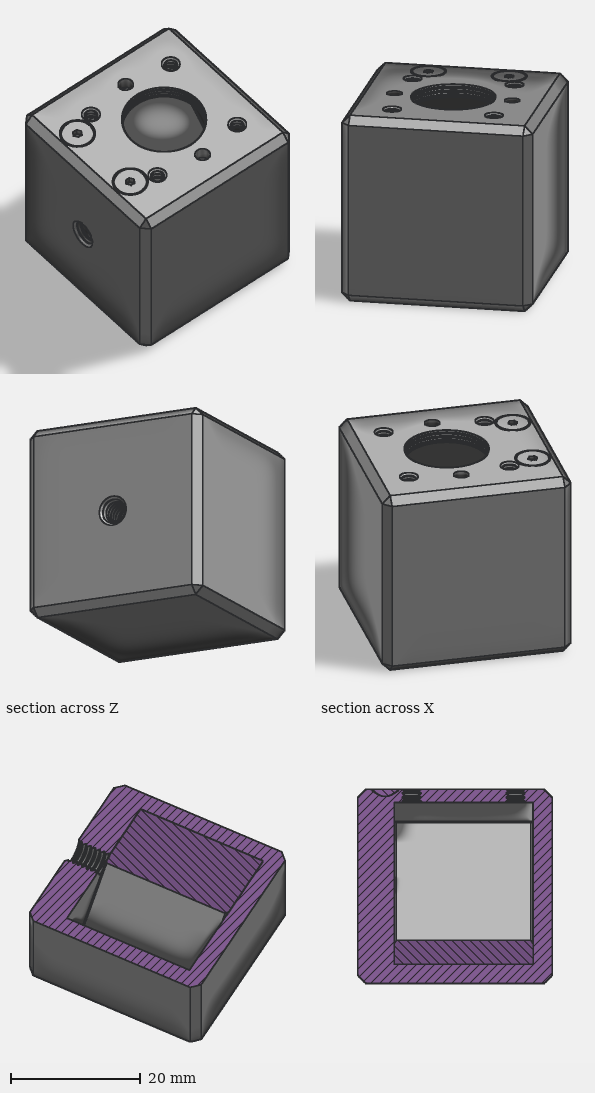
import cadquery as cq
import math


cube_size = 29.97
half_cube = cube_size / 2
cube_chamfer = 1.27

wall = 3.0
screw_wall = 5.64
roof = 2.1
cavity_half_x = half_cube - wall
cavity_front = -half_cube + screw_wall
cavity_back = half_cube - wall
cavity_width = cavity_back - cavity_front
cavity_floor = -half_cube + wall
cavity_top = half_cube - roof
port_y = (cavity_front + cavity_back) / 2

bore_major = 13.08
bore_minor = 12.75
bore_pitch = 0.635
tap_spacing = 16.0
tap_major = 2.85
tap_minor = 2.1
tap_pitch = 0.635
dowel_diameter = 2.35
dowel_spacing = 18.5

post_major = 4.17
post_minor = 3.3
post_pitch = 0.794
post_mouth = 4.65
post_countersink_depth = 0.43
post_thread_lead = 0.19

screw_spacing = 12.7
screw_y = -10.75
screw_head = 5.05
screw_seat_mouth = 5.5
screw_shank = 2.5
screw_head_depth = (screw_seat_mouth - screw_shank) / 2
screw_length = 8.0
hex_across_flats = 1.3
hex_depth = 1.0

mirror_offset = 0.25
mirror_edge = 10.02
prism_bevel = 0.32


def thread_cutter(major, minor, pitch, depth):
    """Ring-grooved cutter going down from the XY plane, starting at the major diameter.

    Each groove has a flat bottom and is parted from the next by a flat ridge.
    """
    outer = major / 2
    inner = minor / 2
    flat = pitch / 8
    turns = math.ceil(depth / pitch)
    points = [(0, 0), (outer, 0)]
    for turn in range(turns):
        start = -turn * pitch
        points.append((outer, start - flat / 2))
        points.append((inner, start - (pitch - flat) / 2))
        points.append((inner, start - (pitch + flat) / 2))
        points.append((outer, start - pitch + flat / 2))
    points.append((outer, -turns * pitch))
    points.append((0, -turns * pitch))
    rings = cq.Workplane("XZ").polyline(points).close().revolve(360, (0, 0), (0, 1))
    depth_limit = cq.Workplane("XY").circle(major).extrude(-depth)
    return rings.intersect(depth_limit)


def countersink_cutter(mouth, depth):
    """90 degree cone going down from the XY plane."""
    points = [(0, 0), (mouth / 2, 0), (mouth / 2 - depth, -depth), (0, -depth)]
    return cq.Workplane("XZ").polyline(points).close().revolve(360, (0, 0), (0, 1))


def make_screw():
    """Flat-head screw with a straight rim and a hex socket, top of the head on the XY plane."""
    rim_depth = (screw_seat_mouth - screw_head) / 2
    points = [
        (0, 0),
        (screw_head / 2, 0),
        (screw_head / 2, -rim_depth),
        (screw_shank / 2, -screw_head_depth),
        (screw_shank / 2, -screw_length),
        (0, -screw_length),
    ]
    body = cq.Workplane("XZ").polyline(points).close().revolve(360, (0, 0), (0, 1))
    socket = cq.Workplane("XY").polygon(6, hex_across_flats, circumscribed=True).extrude(-hex_depth)
    return body.cut(socket)


def screw_seat_cutter():
    """Countersink and shank hole for one screw, going down from the XY plane."""
    shank_hole = cq.Workplane("XY").circle(screw_shank / 2).extrude(-screw_length)
    return shank_hole.union(countersink_cutter(screw_seat_mouth, screw_head_depth))


def make_prism():
    """Right-angle prism with its two sharp edges cut flat and its mirror face bevelled."""
    flat = mirror_edge - mirror_offset + prism_bevel * math.sin(math.pi / 4)
    corner = -cavity_half_x
    points = [
        (corner, corner),
        (flat, corner),
        (flat, -flat - mirror_offset),
        (-flat - mirror_offset, flat),
        (corner, flat),
    ]
    blank = cq.Workplane("XZ", origin=(0, cavity_back, 0)).polyline(points).close().extrude(cavity_width)
    return blank.faces(cq.selectors.DirectionNthSelector(cq.Vector(1, 0, 1), -1)).chamfer(prism_bevel)


screw_places = [(side * screw_spacing / 2, screw_y, half_cube) for side in (-1, 1)]

housing = cq.Workplane("XY").box(cube_size, cube_size, cube_size).edges().chamfer(cube_chamfer)
cavity = cq.Workplane("XY").box(
    2 * cavity_half_x, cavity_width, cavity_top - cavity_floor, centered=(True, True, False)
)
housing = housing.cut(cavity.translate((0, port_y, cavity_floor)))

port_centre = cq.Vector(0, port_y, half_cube)
housing = housing.cut(thread_cutter(bore_major, bore_minor, bore_pitch, roof).translate(port_centre))

for side_x in (-1, 1):
    for side_y in (-1, 1):
        place = port_centre + cq.Vector(side_x * tap_spacing / 2, side_y * tap_spacing / 2, 0)
        housing = housing.cut(thread_cutter(tap_major, tap_minor, tap_pitch, roof).translate(place))

for side in (-1, 1):
    place = port_centre + cq.Vector(side * dowel_spacing / 2, 0, 0)
    housing = housing.cut(cq.Workplane("XY").circle(dowel_diameter / 2).extrude(-roof).translate(place))

post_thread = thread_cutter(post_major, post_minor, post_pitch, screw_wall + post_thread_lead)
post_cutter = post_thread.translate((0, 0, post_thread_lead))
post_cutter = post_cutter.union(countersink_cutter(post_mouth, post_countersink_depth))
post_cutter = post_cutter.rotate((0, 0, 0), (1, 0, 0), 90)
housing = housing.cut(post_cutter.translate((0, -half_cube, 0)))

for place in screw_places:
    housing = housing.cut(screw_seat_cutter().translate(place))

screws = [make_screw().translate(place) for place in screw_places]

prism = make_prism()

result = cq.Compound.makeCompound([housing.val(), prism.val(), *[screw.val() for screw in screws]])